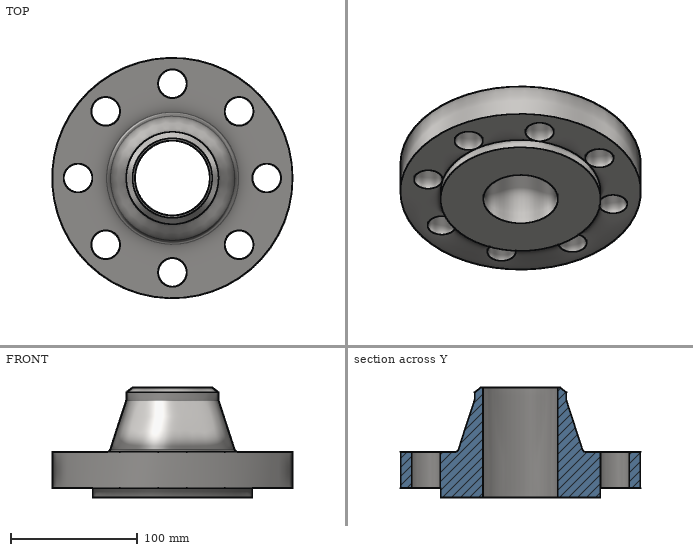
import cadquery as cq
import math

flange_diameter = 190.5
flange_thickness = 28.5
raised_face_diameter = 126.6
raised_face_height = 7.6

bolt_hole_count = 8
bolt_hole_diameter = 22.5
bolt_circle_diameter = 149.3

overall_height = 87.2
hub_base_diameter = 99.8
hub_fillet_radius = 3.2
weld_end_diameter = 73.1
weld_end_length = 10.0
weld_tip_diameter = 63.0
weld_bevel_angle = 37.5
bore_diameter = 59.0

flange_top = raised_face_height + flange_thickness
weld_end_bottom = overall_height - weld_end_length
bevel_run = (weld_end_diameter - weld_tip_diameter) / 2
bevel_bottom = overall_height - bevel_run * math.tan(math.radians(weld_bevel_angle))


def make_body():
    """Revolve the solid half section of raised face, flange and hub about Z."""
    half_section = [
        (0, 0),
        (raised_face_diameter / 2, 0),
        (raised_face_diameter / 2, raised_face_height),
        (flange_diameter / 2, raised_face_height),
        (flange_diameter / 2, flange_top),
        (hub_base_diameter / 2, flange_top),
        (weld_end_diameter / 2, weld_end_bottom),
        (weld_end_diameter / 2, bevel_bottom),
        (weld_tip_diameter / 2, overall_height),
        (0, overall_height),
    ]
    return cq.Workplane("XZ").polyline(half_section).close().revolve(360, (0, 0), (0, 1))


def round_hub_base(body):
    """Fillet the inside corner where the hub meets the flange."""
    hub_base_rank = 2
    hub_base_edge = body.edges("%CIRCLE").edges(cq.selectors.RadiusNthSelector(hub_base_rank))
    return hub_base_edge.fillet(hub_fillet_radius)


def cut_bore(body):
    """Open the bore through the full height."""
    bore = cq.Workplane("XY").circle(bore_diameter / 2).extrude(overall_height)
    return body.cut(bore)


def drill_bolt_holes(body):
    """Drill the evenly spaced bolt holes through the flange, the first on +X."""
    holes = (
        cq.Workplane("XY")
        .polarArray(bolt_circle_diameter / 2, 0, 360, bolt_hole_count)
        .circle(bolt_hole_diameter / 2)
        .extrude(flange_top)
    )
    return body.cut(holes)


result = drill_bolt_holes(cut_bore(round_hub_base(make_body())))